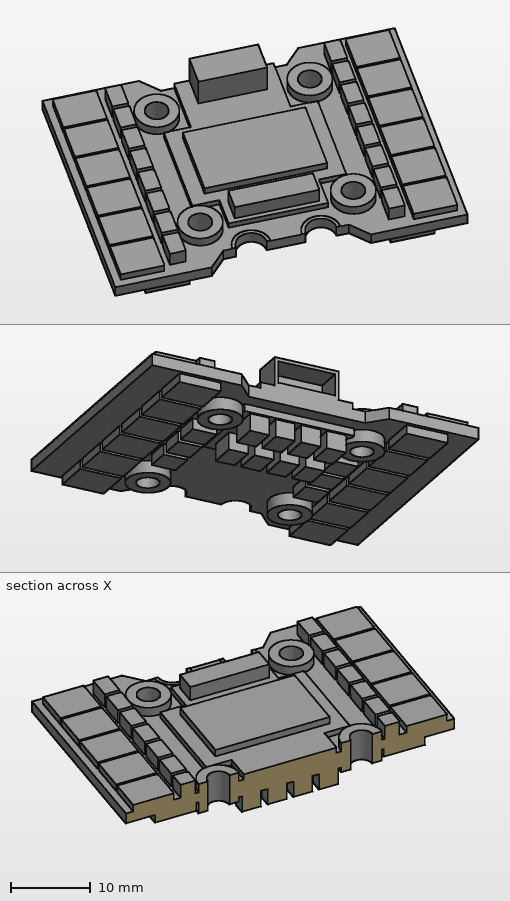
import cadquery as cq

board_length_x = 33.47
board_length_y = 46.0
board_thickness = 1.6
waist_half_x = 14.35
waist_half_y = 8.2
shoulder_half_y = 10.4
board_bottom = -board_thickness

hole_spacing = 20.0
hole_diameter = 3.0
ring_diameter = 5.7
ring_height_top = 1.3
ring_height_bottom = 1.7

notch_spacing = 9.1
notch_radius = 2.0
rim_radius = 2.5
rim_height = 0.05

top_chip = (5.0, 5.7, 1.0)
top_chip_pitch = 5.28
top_chip_row_y = 19.13

small_block = (3.3, 2.1, 2.0)
small_block_count = 8
small_block_pitch = 3.78
small_block_row_y = 14.3

bottom_chip = (4.95, 5.8, 1.2)
bottom_chip_pitch = 5.5
bottom_chip_row_y = 16.0
large_chip_count = 6

driver_chip = (3.35, 3.35, 1.5)
driver_chip_count = 3
driver_chip_pitch = 4.02
driver_chip_row_y = hole_spacing / 2

plate_height = 0.8
plate_max_x = 10.75
plate_wide_half_y = 6.5
plate_long_half_x = 6.55
plate_long_half_y = 10.05

processor = (10.0, 16.0, 1.0)
header = (2.95, 11.05, 2.05)
header_x = 8.65

socket = (4.15, 9.0, 4.0)
socket_wall = 0.5
socket_x = -waist_half_x + socket[0] / 2

lower_plate_min_x = -12.3
lower_plate_max_x = -1.0
lower_plate_length_y = 15.45
lower_plate_height = 1.0
pin_length_x = 3.7
pin_length_y = 2.7
pin_height = 3.4
pin_column_x = (-10.1, -4.2)
pin_row_count = 4
pin_row_pitch = 3.6


def block(size, x, y, z_base):
    """Rectangular block centred on (x, y) and standing on z_base."""
    return cq.Workplane("XY").box(*size, centered=(True, True, False)).translate((x, y, z_base))


def hanging_block(size, x, y):
    """Rectangular block centred on (x, y) and hanging from the board's bottom face."""
    return block(size, x, y, board_bottom - size[2])


def centred_positions(count, pitch):
    """Evenly spaced positions centred on zero."""
    return [(i - (count - 1) / 2) * pitch for i in range(count)]


def disc(x, y, radius, z_low, z_high):
    """Upright cylinder between two heights."""
    return cq.Workplane("XY", origin=(x, y, z_low)).circle(radius).extrude(z_high - z_low)


def make_board():
    half_x = board_length_x / 2
    half_y = board_length_y / 2
    right_side = [
        (half_x, -half_y),
        (half_x, -shoulder_half_y),
        (waist_half_x, -waist_half_y),
        (waist_half_x, waist_half_y),
        (half_x, shoulder_half_y),
        (half_x, half_y),
    ]
    left_side = [(-x, y) for x, y in reversed(right_side)]
    outline = cq.Workplane("XY", origin=(0, 0, board_bottom)).polyline(right_side + left_side)
    return outline.close().extrude(board_thickness)


def add_notches(body):
    for y in centred_positions(2, notch_spacing):
        rim = disc(waist_half_x, y, rim_radius, 0, rim_height)
        inside_edge = block((rim_radius, 2 * rim_radius, rim_height), waist_half_x - rim_radius / 2, y, 0)
        body = body.union(rim.intersect(inside_edge))
        body = body.cut(disc(waist_half_x, y, notch_radius, board_bottom, rim_height))
    return body


def add_chip_rows(body):
    for side in (-1, 1):
        for x in centred_positions(large_chip_count, top_chip_pitch):
            body = body.union(block(top_chip, x, side * top_chip_row_y, 0))
        for x in centred_positions(small_block_count, small_block_pitch):
            body = body.union(block(small_block, x, side * small_block_row_y, 0))
        for x in centred_positions(large_chip_count, bottom_chip_pitch):
            body = body.union(hanging_block(bottom_chip, x, side * bottom_chip_row_y))
        for x in centred_positions(driver_chip_count, driver_chip_pitch):
            body = body.union(hanging_block(driver_chip, x, side * driver_chip_row_y))
    return body


def add_raised_plate(body):
    wide_length_x = plate_max_x + waist_half_x
    wide_centre_x = (plate_max_x - waist_half_x) / 2
    wide_band = block((wide_length_x, 2 * plate_wide_half_y, plate_height), wide_centre_x, 0, 0)
    long_band = block((2 * plate_long_half_x, 2 * plate_long_half_y, plate_height), 0, 0, 0)
    return body.union(wide_band).union(long_band)


def make_socket():
    cavity_size = (
        socket[0] - socket_wall,
        socket[1] - 2 * socket_wall,
        socket[2] - 2 * socket_wall,
    )
    cavity_x = -waist_half_x + cavity_size[0] / 2
    cavity = block(cavity_size, cavity_x, 0, plate_height + socket_wall)
    return block(socket, socket_x, 0, plate_height).cut(cavity)


def add_plate_parts(body):
    body = body.union(block(processor, 0, 0, plate_height))
    body = body.union(block(header, header_x, 0, plate_height))
    return body.union(make_socket())


def add_lower_plate_and_pins(body):
    plate_length_x = lower_plate_max_x - lower_plate_min_x
    plate_centre_x = (lower_plate_min_x + lower_plate_max_x) / 2
    plate_size = (plate_length_x, lower_plate_length_y, lower_plate_height)
    body = body.union(hanging_block(plate_size, plate_centre_x, 0))
    pin = (pin_length_x, pin_length_y, pin_height)
    for x in pin_column_x:
        for y in centred_positions(pin_row_count, pin_row_pitch):
            body = body.union(hanging_block(pin, x, y))
    return body


def add_mounting_holes(body):
    ring_bottom = board_bottom - ring_height_bottom
    for x in centred_positions(2, hole_spacing):
        for y in centred_positions(2, hole_spacing):
            body = body.union(disc(x, y, ring_diameter / 2, ring_bottom, ring_height_top))
            body = body.cut(disc(x, y, hole_diameter / 2, ring_bottom, ring_height_top))
    return body


result = make_board()
result = add_notches(result)
result = add_chip_rows(result)
result = add_raised_plate(result)
result = add_plate_parts(result)
result = add_lower_plate_and_pins(result)
result = add_mounting_holes(result)